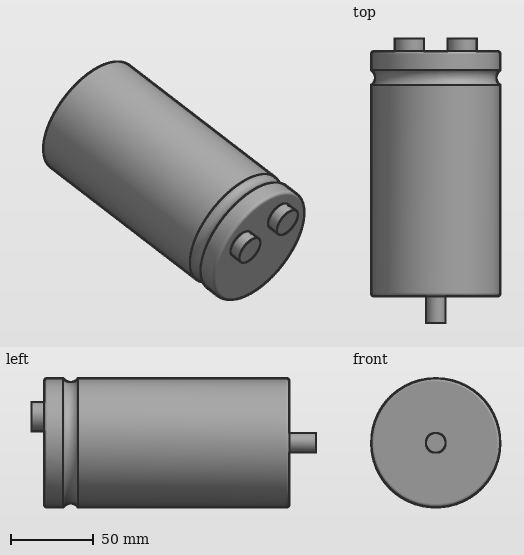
import cadquery as cq


can_diameter = 78.0
can_length = 148.0
rim_radius = 2.0

groove_width = 9.2
groove_depth = 2.3
groove_centre_from_terminal_end = 16.0

stud_diameter = 12.0
stud_length = 16.0

terminal_diameter = 17.8
terminal_height = 7.6
terminal_spacing = 31.7
terminal_offset_z = terminal_spacing / 2

can_radius = can_diameter / 2
groove_centre_y = can_length - groove_centre_from_terminal_end
groove_start_y = groove_centre_y - groove_width / 2
groove_end_y = groove_centre_y + groove_width / 2
groove_floor_radius = can_radius - groove_depth


def make_can():
    """Revolve the grooved half-section about Y, then round both rims."""
    half_section = (
        cq.Workplane("YZ")
        .moveTo(0, 0)
        .lineTo(0, can_radius)
        .lineTo(groove_start_y, can_radius)
        .threePointArc((groove_centre_y, groove_floor_radius), (groove_end_y, can_radius))
        .lineTo(can_length, can_radius)
        .lineTo(can_length, 0)
        .close()
    )
    can = half_section.revolve(360, (0, 0, 0), (1, 0, 0))
    return can.faces("<Y or >Y").edges().fillet(rim_radius)


def make_post(x, z, start_y, diameter, length):
    """Plain cylinder along +Y, starting at start_y."""
    axis = cq.Vector(0, 1, 0)
    base = cq.Vector(x, start_y, z)
    return cq.Workplane(cq.Solid.makeCylinder(diameter / 2, length, base, axis))


result = make_can()
result = result.union(make_post(0, 0, -stud_length, stud_diameter, stud_length))
for side in (-1, 1):
    terminal_x = side * terminal_spacing / 2
    terminal = make_post(terminal_x, terminal_offset_z, can_length, terminal_diameter, terminal_height)
    result = result.union(terminal)